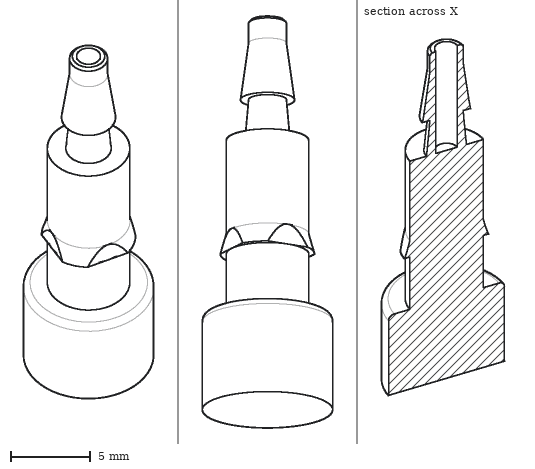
import cadquery as cq

collar_top = 6.2
ring_bottom = 10.2
ring_top = 11.5
body_top = 17.65
barb_bottom = 20.3
barb_top = 24.02
total_height = 25.5

collar_diameter = 8.2
body_diameter = 5.2
ring_diameter = 5.95
neck_root_diameter = 2.85
tip_diameter = 2.4
barb_diameter = 3.42
bore_diameter = 1.5

collar_fillet = 0.4
tip_chamfer = 0.18

flat_angle = 45
across_flats = body_diameter

bore_floor = body_top


def cylinder(diameter, bottom, top):
    return cq.Workplane("XY").workplane(offset=bottom).circle(diameter / 2).extrude(top - bottom)


def cone(bottom_diameter, top_diameter, bottom, top):
    base = cq.Workplane("XY").workplane(offset=bottom).circle(bottom_diameter / 2)
    return base.workplane(offset=top - bottom).circle(top_diameter / 2).loft(ruled=True)


def make_latch_ring():
    """Tapered ring, widest at its lower edge, with flats on its diagonals."""
    ring = cone(ring_diameter, body_diameter, ring_bottom, ring_top)
    square = (
        cq.Workplane("XY")
        .workplane(offset=ring_bottom)
        .rect(across_flats, across_flats)
        .extrude(ring_top - ring_bottom)
        .rotate((0, 0, 0), (0, 0, 1), flat_angle)
    )
    return ring.intersect(square)


def make_hose_barb():
    """Tapered neck, conical barb and chamfered straight tip."""
    neck = cone(neck_root_diameter, tip_diameter, body_top, barb_bottom)
    barb = cone(barb_diameter, tip_diameter, barb_bottom, barb_top)
    tip = cylinder(tip_diameter, barb_top, total_height).faces(">Z").chamfer(tip_chamfer)
    return neck.union(barb).union(tip)


collar = cylinder(collar_diameter, 0, collar_top).faces(">Z").edges().fillet(collar_fillet)
body = cylinder(body_diameter, collar_top, body_top)
bore = cylinder(bore_diameter, bore_floor, total_height)

result = collar.union(body).union(make_latch_ring()).union(make_hose_barb()).cut(bore)